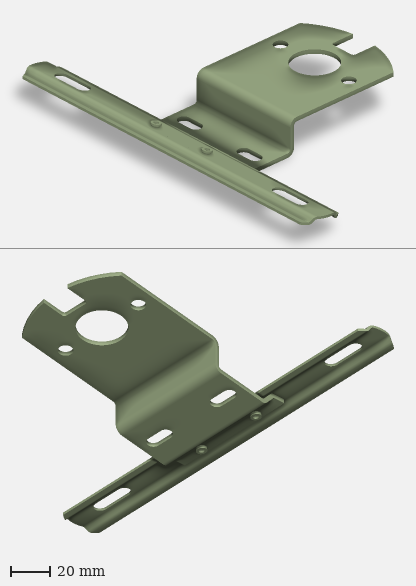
import cadquery as cq
import math

height = 21.5
bracket_width = 69.7
bracket_thickness = 2.5

lamp_hole_diameter = 27.0
screw_hole_diameter = 8.0
screw_hole_x = 25.5
notch_width = 16.5
notch_floor_y = 19.2
notch_corner_radius = 1.7
crown_radius = 54.5
crown_center_y = -19.6

step_y = -49.6
bracket_bend_radius = 2.0
ramp_start_y = -82.6
ramp_angle = 52.0

lower_slot_length = 16.0
lower_slot_width = 7.3
lower_slot_x = 22.2
lower_slot_y = -66.2

bar_length = 215.7
bar_thickness = 1.4
bar_depth = 27.0
bar_rise = 3.0
bar_tilt = 10.0
bar_y = -93.0
bar_top_z = 12.7
web_half_depth = 7.1
leg_angle = 50.0
web_bend_radius = 1.7
rim_bend_radius = 0.9
bar_end_radius = 22.0
bar_slot_length = 23.5
bar_slot_width = 8.0
bar_slot_x = 81.0

flange_reach = 4.5

rivet_x = 19.0
rivet_bore = 3.0
rivet_neck = 4.7
rivet_neck_height = 0.6
rivet_head = 5.8
rivet_head_height = 1.7


def mirrored_pair(x, y):
    """Workplane holding two points, one on each side of the YZ plane."""
    return cq.Workplane("XY").pushPoints([(-x, y), (x, y)])


def offset_path(path, distance):
    """Shift an open (y, z) path to its left, with mitred corners."""
    headings = [math.atan2(b[1] - a[1], b[0] - a[0]) for a, b in zip(path, path[1:])]
    headings = [headings[0]] + headings + [headings[-1]]
    shifted = []
    for (y, z), before, after in zip(path, headings, headings[1:]):
        normal = (before + after) / 2 + math.pi / 2
        reach = distance / math.cos((after - before) / 2)
        shifted.append((y + reach * math.cos(normal), z + reach * math.sin(normal)))
    return shifted


def bent_sheet(path, thickness, width, inner_radii):
    """Sheet lying to the left of a (y, z) path, centred on X, one bend radius per inner corner."""
    other_side = offset_path(path, thickness)
    sheet = (
        cq.Workplane("YZ")
        .polyline(path + other_side[::-1])
        .close()
        .extrude(width / 2, both=True)
    )
    bends = zip(path[1:-1], other_side[1:-1], path, path[2:], inner_radii)
    for corner, other_corner, before, after, radius in bends:
        step_in = (corner[0] - before[0], corner[1] - before[1])
        step_out = (after[0] - corner[0], after[1] - corner[1])
        turns_left = step_in[0] * step_out[1] > step_in[1] * step_out[0]
        inner, outer = (other_corner, corner) if turns_left else (corner, other_corner)
        for (y, z), bend_radius in ((inner, radius), (outer, radius + thickness)):
            edge = cq.selectors.NearestToPointSelector((0, y, z))
            sheet = sheet.edges("|X").edges(edge).fillet(bend_radius)
    return sheet


def tilt_to_bar(body):
    """Move a body from the frame of the bar (origin on top of the web) into place."""
    return body.rotate((0, 0, 0), (1, 0, 0), -bar_tilt).translate((0, bar_y, bar_top_z))


def make_bracket():
    tilt = math.radians(bar_tilt)
    ramp_slope = math.tan(math.radians(ramp_angle))
    flange_slope = math.tan(tilt)
    seat_y = bar_y - bar_thickness * math.sin(tilt)
    seat_z = bar_top_z - bar_thickness * math.cos(tilt)
    run = (seat_z - bracket_thickness - flange_slope * (ramp_start_y - seat_y)) / (ramp_slope - flange_slope)
    crown_y = crown_center_y + crown_radius
    upper_surface = [
        (crown_y, height),
        (step_y, height),
        (step_y, bracket_thickness),
        (ramp_start_y, bracket_thickness),
        (ramp_start_y - run, bracket_thickness + run * ramp_slope),
        (seat_y - flange_reach * math.cos(tilt), seat_z + flange_reach * math.sin(tilt)),
    ]
    radii = [bracket_bend_radius] * (len(upper_surface) - 2)
    bracket = bent_sheet(upper_surface, bracket_thickness, bracket_width, radii)

    crown = cq.Workplane("XY").center(0, crown_center_y).circle(crown_radius).extrude(height)
    behind = cq.Workplane("XY").box(bracket_width, 2 * crown_radius, height, centered=(True, False, False))
    bracket = bracket.cut(behind.cut(crown))

    notch = (
        cq.Workplane("XY")
        .box(notch_width, crown_radius, height, centered=(True, False, False))
        .edges("|Z and <Y")
        .fillet(notch_corner_radius)
        .translate((0, notch_floor_y, 0))
    )
    lamp_hole = cq.Workplane("XY").circle(lamp_hole_diameter / 2).extrude(height)
    screw_holes = mirrored_pair(screw_hole_x, 0).circle(screw_hole_diameter / 2).extrude(height)
    slots = mirrored_pair(lower_slot_x, lower_slot_y).slot2D(lower_slot_length, lower_slot_width).extrude(height)
    return bracket.cut(notch).cut(lamp_hole).cut(screw_holes).cut(slots)


def make_bar():
    leg_run = bar_rise / math.tan(math.radians(leg_angle))
    top_surface = [
        (bar_depth / 2, -bar_rise),
        (web_half_depth + leg_run, -bar_rise),
        (web_half_depth, 0),
        (-web_half_depth, 0),
        (-web_half_depth - leg_run, -bar_rise),
        (-bar_depth / 2, -bar_rise),
    ]
    radii = [rim_bend_radius, web_bend_radius, web_bend_radius, rim_bend_radius]
    bar = bent_sheet(top_surface, bar_thickness, bar_length, radii)

    end_setback = bar_end_radius - math.sqrt(bar_end_radius**2 - (bar_depth / 2) ** 2)
    corner_x = bar_length / 2 - end_setback
    bar_plan = (
        cq.Workplane("XY")
        .moveTo(-corner_x, -bar_depth / 2)
        .lineTo(corner_x, -bar_depth / 2)
        .threePointArc((bar_length / 2, 0), (corner_x, bar_depth / 2))
        .lineTo(-corner_x, bar_depth / 2)
        .threePointArc((-bar_length / 2, 0), (-corner_x, -bar_depth / 2))
        .close()
        .extrude(height, both=True)
    )
    slots = mirrored_pair(bar_slot_x, 0).slot2D(bar_slot_length, bar_slot_width).extrude(height, both=True)
    return tilt_to_bar(bar.intersect(bar_plan).cut(slots))


def rivet_cylinder(diameter, bottom, top):
    """Cylinders on both rivet axes, between two heights measured from the top of the web."""
    cylinders = mirrored_pair(rivet_x, 0).circle(diameter / 2).extrude(top - bottom)
    return tilt_to_bar(cylinders.translate((0, 0, bottom)))


def add_rivets(body):
    grip = bar_thickness + bracket_thickness
    rivet_bottom = -grip - rivet_head_height
    necks = rivet_cylinder(rivet_neck, 0, rivet_neck_height)
    upper_heads = rivet_cylinder(rivet_head, rivet_neck_height, rivet_head_height)
    lower_heads = rivet_cylinder(rivet_head, rivet_bottom, -grip)
    bores = rivet_cylinder(rivet_bore, rivet_bottom, rivet_head_height)
    return body.union(necks).union(upper_heads).union(lower_heads).cut(bores)


result = add_rivets(make_bracket().union(make_bar()))